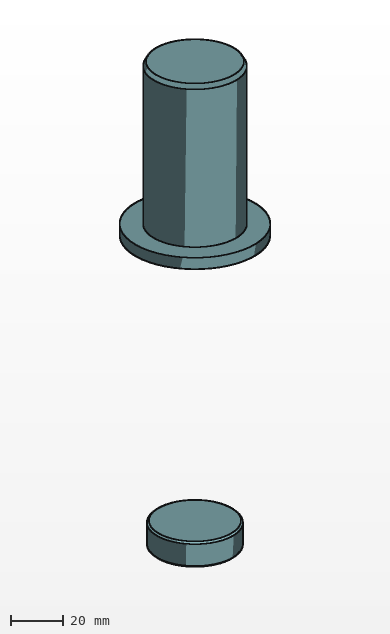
import cadquery as cq
import math

flange_diameter = 58.0
flange_thickness = 5.0
post_diameter = 40.0
plug_height = 75.0
post_chamfer_height = 2.0
post_chamfer_angle = 30.0
post_chamfer_width = post_chamfer_height * math.tan(math.radians(post_chamfer_angle))

disc_diameter = 37.0
disc_thickness = 11.0
disc_chamfer = 0.8

overall_height = 209.0
plug_base_z = overall_height - plug_height


def make_plug():
    """Round post on a thin flange, with a steep chamfer at the top rim."""
    flange = cq.Workplane("XY").circle(flange_diameter / 2).extrude(flange_thickness)
    post = (
        cq.Workplane("XY")
        .circle(post_diameter / 2)
        .extrude(plug_height)
        .faces(">Z")
        .chamfer(post_chamfer_height, post_chamfer_width)
    )
    return flange.union(post).translate((0, 0, plug_base_z))


def make_disc():
    """Plain disc with both rims chamfered."""
    return (
        cq.Workplane("XY")
        .circle(disc_diameter / 2)
        .extrude(disc_thickness)
        .edges("%CIRCLE")
        .chamfer(disc_chamfer)
    )


plug = make_plug()
disc = make_disc()

result = cq.Compound.makeCompound([plug.val(), disc.val()])